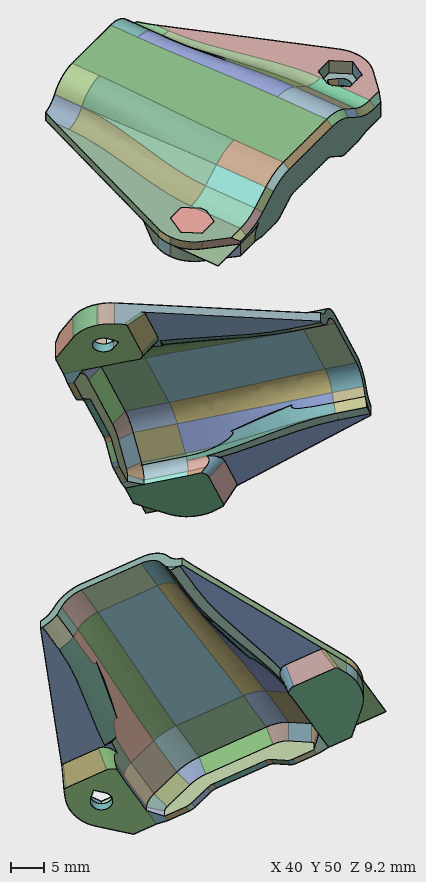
import cadquery as cq
import math

LENGTH = 40.0
WIDTH = 50.0
HEIGHT = 9.2
HALF_WIDTH = WIDTH / 2
SKIN = 1.5
HUMP_RISE = 4.8
PLATE_TOP = HEIGHT - HUMP_RISE
PLATE_BOTTOM = PLATE_TOP - SKIN
PAD_DEPTH = 2.5
PAD_BOTTOM = PLATE_BOTTOM - PAD_DEPTH
OVERSHOOT = 2.5

NARROW_END = (5.2, 60.0, 5.5, 4.0, 10.65)
WIDE_END = (5.85, 35.0, 8.3, 6.8, 15.0)
FOOT_SKIN = 1.7
FILL_OVERLAP = 0.5
CAVITY_SIDE_RADIUS = 3.0
BLEND_START = 5.0
BLEND_END = 30.0
BLEND_STEPS = 8

NARROW_HALF_WIDTH = 12.35
SHOULDER_X = 29.95
CORNER_CUT = 6.0
OUTLINE_RADIUS = 6.25
END_CHAMFER = 1.0

PAD_START = 24.6
PAD_INNER_Y = 14.25
PAD_INNER_RADIUS = 2.05
PAD_OUTER_RADIUS = 0.4
BOLT_X = 32.0
BOLT_Y = 20.0
BOLT_RADIUS = 1.7
NUT_FLATS = 5.6
NUT_RELIEF = 0.3
NUT_TIP = 2.95
NUT_DEPTH = 2.5
SHEET_THICKNESS = 0.05

WALL_THICKNESS = 1.0
WALL_WEDGE = 2.0
WALL_FACE_X = LENGTH - WALL_THICKNESS
WEDGE_START_X = WALL_FACE_X - WALL_WEDGE
WALL_FOOT_HALF_WIDTH = WIDE_END[4] - WALL_WEDGE
ARCH_HALF_WIDTH = 4.5
ARCH_RISE = 2.6
ARCH_ANGLE = 35.0
ARCH_RADIUS = 1.75


def arc_point(center, radius, angle):
    """Point on a circle in the YZ plane, with the angle in degrees from +Z towards +Y."""
    turn = math.radians(angle)
    return (center[0] + radius * math.sin(turn), center[1] + radius * math.cos(turn))


def upper_arc(end_shape, inset):
    """Start, middle and end of the arc that leads from the crown into the slope."""
    crown, angle, radius = end_shape[:3]
    center = (crown, HEIGHT - radius)
    return [arc_point(center, radius - inset, turn) for turn in (0, angle / 2, angle)]


def hump_points(end_shape, inset=0.0):
    """Half profile of the hump: upper arc, slope and foot arc, moved inward by `inset`."""
    crown, angle, upper_radius, foot_radius = end_shape[:4]
    turn = math.radians(angle)
    both_radii = upper_radius + foot_radius
    slope_run = (HUMP_RISE - both_radii * (1 - math.cos(turn))) / math.tan(turn)
    foot_center = (crown + both_radii * math.sin(turn) + slope_run, PLATE_TOP + foot_radius)
    foot_arc = [arc_point(foot_center, -foot_radius - inset, t) for t in (angle, angle / 2, 0)]
    return upper_arc(end_shape, inset) + foot_arc


def cavity_points(end_shape, inset=SKIN):
    """Half profile of the cavity: upper arc, slope and rounded upright side."""
    angle, side = end_shape[1], end_shape[4]
    top = upper_arc(end_shape, inset)
    slope_y, slope_z = top[-1]
    turn = math.radians(angle)
    radius = CAVITY_SIDE_RADIUS - (inset - SKIN)
    center_y = side - CAVITY_SIDE_RADIUS
    tangent_y = center_y + radius * math.sin(turn)
    tangent_z = slope_z - (tangent_y - slope_y) * math.tan(turn)
    center = (center_y, tangent_z - radius * math.cos(turn))
    return top + [arc_point(center, radius, t) for t in (angle, (angle + 90) / 2, 90)]


def profile_wire(x, points, floor, tower=0.0):
    """Mirrored half profile, closed at `floor`; `tower` lifts the flat crown."""
    right = points
    left = [(-y, z) for y, z in points]
    crown_y, crown_z = points[0]
    side_y = points[-1][0]
    wire = cq.Workplane("YZ", origin=(x, 0, 0)).moveTo(*right[0])
    wire = wire.threePointArc(right[1], right[2]).lineTo(*right[3]).threePointArc(right[4], right[5])
    wire = wire.lineTo(side_y, floor).lineTo(-side_y, floor).lineTo(*left[5])
    wire = wire.threePointArc(left[4], left[3]).lineTo(*left[2]).threePointArc(left[1], left[0])
    if tower > 0:
        wire = wire.lineTo(-crown_y, crown_z + tower).lineTo(crown_y, crown_z + tower)
    return wire.close().wire().val()


def loft(wires, ruled=True):
    return cq.Workplane(cq.Solid.makeLoft(wires, ruled))


def foot_fill_wire(x, points):
    """Underside of the foot arc on +Y, closed below the plate bottom and inside the cavity."""
    start, middle, end = points[3:]
    inner_y = start[0] - FILL_OVERLAP
    floor = PLATE_BOTTOM - FILL_OVERLAP
    wire = cq.Workplane("YZ", origin=(x, 0, 0)).moveTo(*start).threePointArc(middle, end)
    return wire.lineTo(end[0], floor).lineTo(inner_y, floor).lineTo(inner_y, start[1]).close().wire().val()


def blended_body(narrow, wide, end_x, make_wire):
    """Narrow profile up to BLEND_START, smooth change, wide profile from BLEND_END to `end_x`."""
    blend = []
    for step in range(BLEND_STEPS + 1):
        t = step / BLEND_STEPS
        share = t * t * (3 - 2 * t)
        points = [
            (y0 + share * (y1 - y0), z0 + share * (z1 - z0))
            for (y0, z0), (y1, z1) in zip(narrow, wide)
        ]
        x = BLEND_START + t * (BLEND_END - BLEND_START)
        blend.append(make_wire(x, points))
    narrow_part = loft([make_wire(0, narrow), blend[0]])
    wide_part = loft([blend[-1], make_wire(end_x, wide)])
    return narrow_part.union(loft(blend, ruled=False)).union(wide_part)


def outline_prism(bottom, top):
    side = [
        (0, NARROW_HALF_WIDTH),
        (SHOULDER_X, HALF_WIDTH),
        (LENGTH - CORNER_CUT, HALF_WIDTH),
        (LENGTH, HALF_WIDTH - CORNER_CUT),
    ]
    outline = side + [(x, -y) for x, y in reversed(side)]
    prism = cq.Workplane("XY", origin=(0, 0, bottom)).polyline(outline).close().extrude(top - bottom)
    for x, y in side[1:3]:
        for corner_y in (y, -y):
            corner = cq.selectors.NearestToPointSelector((x, corner_y, (bottom + top) / 2))
            prism = prism.edges("|Z").edges(corner).fillet(OUTLINE_RADIUS)
    return prism


def make_hump():
    """Solid hump; its crown is trimmed flat at HEIGHT and its +X rim is chamfered."""
    chamfer_x = LENGTH - END_CHAMFER
    wide = hump_points(WIDE_END)

    def towered_wire(x, points):
        return profile_wire(x, points, PLATE_BOTTOM, tower=OVERSHOOT)

    body = blended_body(hump_points(NARROW_END), wide, chamfer_x, towered_wire)
    rim = loft([
        profile_wire(chamfer_x, wide, PLATE_BOTTOM),
        profile_wire(LENGTH, hump_points(WIDE_END, END_CHAMFER), PLATE_BOTTOM),
    ])
    return body.union(rim).intersect(outline_prism(PLATE_BOTTOM, HEIGHT))


def make_plate():
    return outline_prism(PLATE_BOTTOM, PLATE_TOP).faces(">X").edges(">Z").chamfer(END_CHAMFER)


def make_cavity():
    def deep_wire(x, points):
        return profile_wire(x, points, -OVERSHOOT)

    return blended_body(cavity_points(NARROW_END), cavity_points(WIDE_END), LENGTH, deep_wire)


def make_foot_fill(cavity):
    """Strip on +Y between the concave underside of the hump foot and the plate bottom."""
    narrow = hump_points(NARROW_END, FOOT_SKIN)
    strip = blended_body(narrow, hump_points(WIDE_END, FOOT_SKIN), LENGTH, foot_fill_wire)
    return strip.intersect(outline_prism(PLATE_BOTTOM, HEIGHT)).cut(cavity)


def make_end_wall(cavity):
    """Wall inside the wide end of the cavity, arched below and wedged against the cavity."""
    turn = math.radians(ARCH_ANGLE)
    arc_run = ARCH_RADIUS * math.sin(turn)
    arc_drop = ARCH_RADIUS * (1 - math.cos(turn))
    slope_run = (ARCH_RISE - 2 * arc_drop) / math.tan(turn)
    upper_center = (ARCH_HALF_WIDTH, ARCH_RISE - ARCH_RADIUS)
    foot_center = (ARCH_HALF_WIDTH + 2 * arc_run + slope_run, ARCH_RADIUS)
    upper = [arc_point(upper_center, ARCH_RADIUS, t) for t in (0, ARCH_ANGLE / 2, ARCH_ANGLE)]
    foot = [arc_point(foot_center, -ARCH_RADIUS, t) for t in (ARCH_ANGLE, ARCH_ANGLE / 2, 0)]
    side = WIDE_END[4]

    half = cq.Workplane("YZ", origin=(WEDGE_START_X, 0, 0)).moveTo(0, ARCH_RISE).lineTo(*upper[0])
    half = half.threePointArc(upper[1], upper[2]).lineTo(*foot[0]).threePointArc(foot[1], foot[2])
    half = half.lineTo(WALL_FOOT_HALF_WIDTH, 0).lineTo(side, PAD_BOTTOM)
    half = half.lineTo(side, HEIGHT).lineTo(0, HEIGHT).close().extrude(LENGTH - WEDGE_START_X)
    opening = loft([
        profile_wire(WEDGE_START_X, cavity_points(WIDE_END), -OVERSHOOT),
        profile_wire(WALL_FACE_X, cavity_points(WIDE_END, SKIN + WALL_WEDGE), -OVERSHOOT),
    ])
    return half.union(half.mirror("XZ")).intersect(cavity).cut(opening)


def make_pad(side, cavity):
    """Pad under the plate on the +Y (side = 1) or -Y (side = -1) half."""
    slope_end = PAD_START + PAD_DEPTH
    front = [
        (PAD_START, PLATE_BOTTOM),
        (slope_end, PAD_BOTTOM),
        (LENGTH, PAD_BOTTOM),
        (LENGTH, PLATE_BOTTOM),
    ]
    block = cq.Workplane("XZ", origin=(0, side * PAD_INNER_Y, 0)).polyline(front).close()
    block = block.extrude(-side * HALF_WIDTH)
    inner_edge = cq.selectors.NearestToPointSelector((slope_end, side * PAD_INNER_Y, PAD_BOTTOM + 0.5))
    block = block.faces("<X").edges(inner_edge).fillet(PAD_INNER_RADIUS)
    pad = block.intersect(outline_prism(PAD_BOTTOM, PLATE_BOTTOM))

    outer_y = NARROW_HALF_WIDTH + (HALF_WIDTH - NARROW_HALF_WIDTH) * PAD_START / SHOULDER_X
    outer_edge = cq.selectors.NearestToPointSelector((PAD_START, side * outer_y, PLATE_BOTTOM))
    return pad.faces("<X").edges(outer_edge).fillet(PAD_OUTER_RADIUS).cut(cavity)


def nut_prism(side, bottom):
    """Hexagon with corners along Y, longer at -X and blunt towards the hump."""
    half = NUT_FLATS / 2
    slant = math.tan(math.radians(30))
    corner = NUT_FLATS / math.sqrt(3)
    low_x = -half - NUT_RELIEF
    blunt_x = (corner - NUT_TIP) / slant
    hexagon = [
        (low_x, corner + low_x * slant),
        (0, corner),
        (half, corner - half * slant),
        (half, half * slant - corner),
        (blunt_x, -NUT_TIP),
        (-blunt_x, -NUT_TIP),
        (low_x, -corner - low_x * slant),
    ]
    prism = cq.Workplane("XY", origin=(BOLT_X, side * BOLT_Y, bottom))
    return prism.polyline([(x, side * y) for x, y in hexagon]).close().extrude(HEIGHT - bottom)


def teardrop_hole():
    """Bolt hole with a 90 degree point towards -X."""
    tangent = BOLT_RADIUS * math.sqrt(0.5)
    hole = cq.Workplane("XY", origin=(BOLT_X, BOLT_Y, PAD_BOTTOM))
    hole = hole.moveTo(-2 * tangent, 0).lineTo(-tangent, tangent)
    return hole.threePointArc((BOLT_RADIUS, 0), (-tangent, -tangent)).close().extrude(HEIGHT)


def corner_sheet():
    """Thin triangle beside the separate pad, filling the cut corner at +X, -Y."""
    bottom = PLATE_BOTTOM - SHEET_THICKNESS
    sheet = cq.Workplane("XY", origin=(BOLT_X, -HALF_WIDTH, bottom))
    sheet = sheet.rect(LENGTH - BOLT_X, CORNER_CUT, centered=False).extrude(SHEET_THICKNESS)
    return sheet.cut(outline_prism(PAD_BOTTOM, PLATE_TOP)).solids(">X")


def make_housing(skin_solid, cavity, foot_fill):
    housing = skin_solid.cut(cavity).union(make_end_wall(cavity)).union(make_pad(1, cavity))
    above_pad = cq.Workplane("XY").box(LENGTH, HALF_WIDTH, HEIGHT, centered=False)
    above_pad = above_pad.translate((PAD_START, 0, 0)).intersect(foot_fill)
    housing = housing.cut(foot_fill).cut(foot_fill.mirror("XZ")).union(above_pad)
    housing = housing.cut(nut_prism(1, PLATE_TOP - NUT_DEPTH)).cut(teardrop_hole())
    return housing.cut(nut_prism(-1, PLATE_BOTTOM))


def make_nut_pad(skin_solid, cavity, foot_fill):
    """Separate -Y pad with a strip under the hump foot, a hexagonal plug and a thin corner sheet."""
    plug = nut_prism(-1, PLATE_BOTTOM).intersect(skin_solid)
    pad_and_strip = make_pad(-1, cavity).union(foot_fill.mirror("XZ"))
    return pad_and_strip.union(plug).union(corner_sheet())


cavity_body = make_cavity()
foot_fill_strip = make_foot_fill(cavity_body)
plate_and_hump = make_plate().union(make_hump())
housing = make_housing(plate_and_hump, cavity_body, foot_fill_strip)
nut_pad = make_nut_pad(plate_and_hump, cavity_body, foot_fill_strip)
result = cq.Compound.makeCompound([housing.val(), nut_pad.val()])